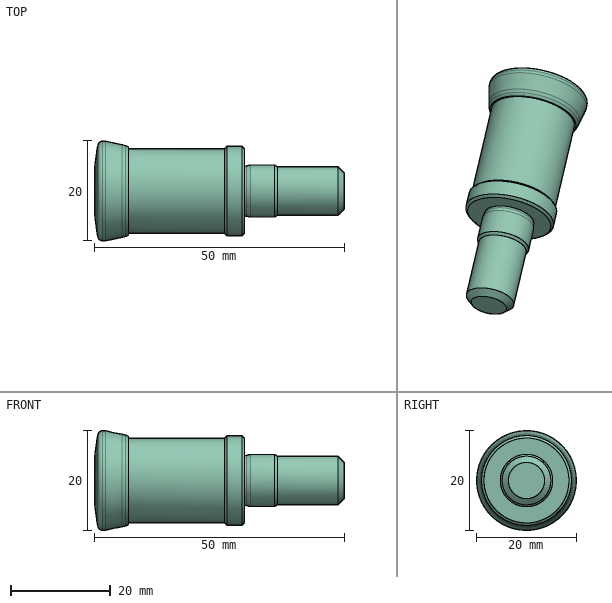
import cadquery as cq

TOTAL_LENGTH = 50.0
CAP_LENGTH = 6.8
COLLAR_START = 26.0
COLLAR_END = 30.0

CAP_RADIUS = 10.0
CAP_BACK_RADIUS = 8.8
CAP_FACE_EDGE_RADIUS = 8.65
CAP_FACE_EDGE_X = 0.5
FACE_ROUND_MIDDLE_RADIUS = 9.05
FACE_ROUND_MIDDLE_X = 0.6
FACE_ROUND_END_RADIUS = 9.4
FACE_ROUND_END_X = 0.7
RIM_MIDDLE_RADIUS = 9.8
RIM_MIDDLE_X = 1.0
RIM_END_X = 1.55
SIDE_TAPER_START_X = 2.15
SIDE_TAPER_END_X = 5.5
SIDE_TAPER_END_RADIUS = 9.3
BACK_ROUND_START_X = 6.2
BACK_ROUND_START_RADIUS = 9.1
BACK_ROUND_MIDDLE_X = 6.5
BACK_ROUND_MIDDLE_RADIUS = 9.0

RECESS_RADIUS = 4.15
RECESS_DEPTH = 1.25
LIP_ROUND = 0.6
LIP_TOP_RADIUS = RECESS_RADIUS + LIP_ROUND
LIP_OUTER_RADIUS = 5.4
LIP_OUTER_X = 0.05

BARREL_RADIUS = 17.0 / 2
COLLAR_RADIUS = 18.0 / 2
COLLAR_CHAMFER = 0.5
SEAT_RADIUS = 10.5 / 2
SEAT_END = 36.6
SEAT_CHAMFER_LENGTH = 0.6
STEM_RADIUS = 9.75 / 2
STEM_CHAMFER = 1.25
RELIEF_RADIUS = 5.05
RELIEF_LENGTH = 0.4
RELIEF_TAPER_LENGTH = 0.75


def revolve_about_x(profile):
    """Revolve a closed (x, radius) profile a full turn about the X axis."""
    return profile.close().revolve(360, (0, 0, 0), (1, 0, 0))


def make_cap():
    lip_arc_offset = LIP_ROUND * 0.5 ** 0.5
    profile = (
        cq.Workplane("XY")
        .moveTo(RECESS_DEPTH, 0)
        .lineTo(RECESS_DEPTH, RECESS_RADIUS)
        .lineTo(LIP_ROUND, RECESS_RADIUS)
        .threePointArc(
            (LIP_ROUND - lip_arc_offset, LIP_TOP_RADIUS - lip_arc_offset),
            (0, LIP_TOP_RADIUS),
        )
        .lineTo(LIP_OUTER_X, LIP_OUTER_RADIUS)
        .lineTo(CAP_FACE_EDGE_X, CAP_FACE_EDGE_RADIUS)
        .threePointArc(
            (FACE_ROUND_MIDDLE_X, FACE_ROUND_MIDDLE_RADIUS),
            (FACE_ROUND_END_X, FACE_ROUND_END_RADIUS),
        )
        .threePointArc((RIM_MIDDLE_X, RIM_MIDDLE_RADIUS), (RIM_END_X, CAP_RADIUS))
        .lineTo(SIDE_TAPER_START_X, CAP_RADIUS)
        .lineTo(SIDE_TAPER_END_X, SIDE_TAPER_END_RADIUS)
        .lineTo(BACK_ROUND_START_X, BACK_ROUND_START_RADIUS)
        .threePointArc(
            (BACK_ROUND_MIDDLE_X, BACK_ROUND_MIDDLE_RADIUS),
            (CAP_LENGTH, CAP_BACK_RADIUS),
        )
        .lineTo(CAP_LENGTH, 0)
    )
    return revolve_about_x(profile)


def make_core():
    relief_end = COLLAR_END + RELIEF_LENGTH
    profile = (
        cq.Workplane("XY")
        .moveTo(CAP_LENGTH, 0)
        .lineTo(CAP_LENGTH, BARREL_RADIUS)
        .lineTo(COLLAR_START, BARREL_RADIUS)
        .lineTo(COLLAR_START + COLLAR_CHAMFER, COLLAR_RADIUS)
        .lineTo(COLLAR_END - COLLAR_CHAMFER, COLLAR_RADIUS)
        .lineTo(COLLAR_END, COLLAR_RADIUS - COLLAR_CHAMFER)
        .lineTo(COLLAR_END, RELIEF_RADIUS)
        .lineTo(relief_end, RELIEF_RADIUS)
        .lineTo(relief_end + RELIEF_TAPER_LENGTH, SEAT_RADIUS)
        .lineTo(SEAT_END - SEAT_CHAMFER_LENGTH, SEAT_RADIUS)
        .lineTo(SEAT_END, STEM_RADIUS)
        .lineTo(TOTAL_LENGTH - STEM_CHAMFER, STEM_RADIUS)
        .lineTo(TOTAL_LENGTH, STEM_RADIUS - STEM_CHAMFER)
        .lineTo(TOTAL_LENGTH, 0)
    )
    return revolve_about_x(profile)


cap = make_cap()
core = make_core()

result = cq.Compound.makeCompound([cap.val(), core.val()])